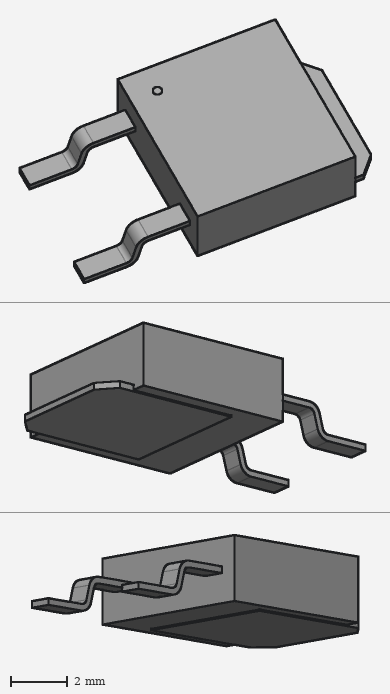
import cadquery as cq
import math


HOUSING_WIDTH = 6.71
HOUSING_LENGTH = 6.22
HOUSING_HEIGHT = 2.4
FRONT_Y = -HOUSING_LENGTH / 2
BACK_Y = HOUSING_LENGTH / 2

OVERALL_LENGTH = 11.63
TAB_WIDTH = 5.51
TAB_LENGTH = 5.6
TAB_THICKNESS = 0.26
TAB_OVERHANG = 1.23
TAB_STANDOFF = 0.05
TAB_CORNER_X = 0.7
TAB_CORNER_Y = 0.63
TAB_BACK_Y = BACK_Y + TAB_OVERHANG
TAB_FRONT_Y = TAB_BACK_Y - TAB_LENGTH

LEAD_WIDTH = 0.85
LEAD_SPACING = 4.58
LEAD_THICKNESS = 0.25
LEAD_TOP_Z = 1.34
LEAD_REACH = OVERALL_LENGTH - HOUSING_LENGTH - TAB_OVERHANG
SHOULDER_LENGTH = 1.65
BEND_ANGLE = math.radians(75)
BEND_RADIUS = 1.5 * LEAD_THICKNESS

MARKER_DIAMETER = 0.34
MARKER_DEPTH = 0.05
MARKER_INSET = 1.07
MARKER_X = -HOUSING_WIDTH / 2 + MARKER_INSET
MARKER_Y = FRONT_Y + MARKER_INSET


def make_tab():
    """Flat plate with its two back corners cut off."""
    half_width = TAB_WIDTH / 2
    corner_x = half_width - TAB_CORNER_X
    corner_y = TAB_BACK_Y - TAB_CORNER_Y
    outline = [
        (-half_width, TAB_FRONT_Y),
        (half_width, TAB_FRONT_Y),
        (half_width, corner_y),
        (corner_x, TAB_BACK_Y),
        (-corner_x, TAB_BACK_Y),
        (-half_width, corner_y),
    ]
    plate = cq.Workplane("XY").polyline(outline).close().extrude(TAB_THICKNESS)
    return plate.translate((0, 0, -TAB_STANDOFF))


def make_marker():
    """Thin disc that fills its recess in the housing top."""
    return (
        cq.Workplane("XY", origin=(MARKER_X, MARKER_Y, HOUSING_HEIGHT - MARKER_DEPTH))
        .circle(MARKER_DIAMETER / 2)
        .extrude(MARKER_DEPTH)
    )


def make_housing(tab, marker):
    """Rectangular block with recesses for the tab and the marker."""
    block = cq.Workplane("XY").box(
        HOUSING_WIDTH, HOUSING_LENGTH, HOUSING_HEIGHT, centered=(True, True, False)
    )
    return block.cut(tab).cut(marker).solids()


def make_lead(center_x):
    """Strip swept along an S-bent centreline from the housing front to the foot tip."""
    shoulder_z = LEAD_TOP_Z - LEAD_THICKNESS / 2
    foot_z = LEAD_THICKNESS / 2
    bend_run = BEND_RADIUS * math.sin(BEND_ANGLE)
    bend_drop = BEND_RADIUS * (1 - math.cos(BEND_ANGLE))
    slope_drop = shoulder_z - foot_z - 2 * bend_drop
    slope_run = slope_drop / math.tan(BEND_ANGLE)

    shoulder_end = (FRONT_Y - SHOULDER_LENGTH, shoulder_z)
    slope_top = (shoulder_end[0] - bend_run, shoulder_z - bend_drop)
    slope_bottom = (slope_top[0] - slope_run, slope_top[1] - slope_drop)
    foot_start = (slope_bottom[0] - bend_run, foot_z)

    centreline = (
        cq.Workplane("YZ", origin=(center_x, 0, 0))
        .moveTo(FRONT_Y, shoulder_z)
        .lineTo(*shoulder_end)
        .tangentArcPoint(slope_top, relative=False)
        .lineTo(*slope_bottom)
        .tangentArcPoint(foot_start, relative=False)
        .lineTo(FRONT_Y - LEAD_REACH, foot_z)
    )
    return (
        cq.Workplane("XZ", origin=(center_x, FRONT_Y, shoulder_z))
        .rect(LEAD_WIDTH, LEAD_THICKNESS)
        .sweep(centreline)
    )


tab = make_tab()
marker = make_marker()
housing = make_housing(tab, marker)
leads = [make_lead(side * LEAD_SPACING / 2) for side in (-1, 1)]

result = cq.Compound.makeCompound(
    [housing.val(), tab.val(), marker.val(), *[lead.val() for lead in leads]]
)